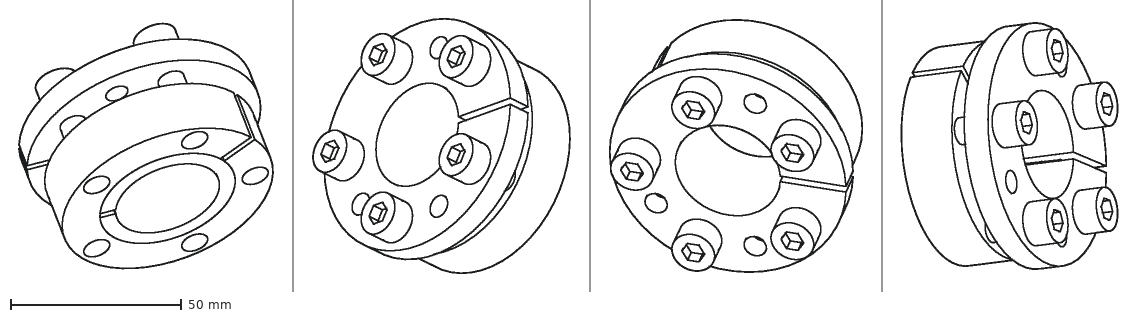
import cadquery as cq
import math


head_height = 8.0
flange_thickness = 8.0
gap_width = 6.05
ring_width = 17.0

flange_front = head_height
flange_back = flange_front + flange_thickness
ring_front = flange_back + gap_width
ring_back = ring_front + ring_width

flange_diameter = 72.0
bore_diameter = 31.95
ring_diameter = 65.0
taper_start_radius = 22.45
taper_half_angle = 4.0
slit_width = 2.0

bolt_circle_radius = 27.0
head_diameter = 13.0
shank_diameter = 8.0
socket_across_flats = 6.0
socket_depth = 4.0

jack_hole_diameter = 6.8

screw_count = 5
screw_spacing = 360 / screw_count
ring_slit_angle = 2 * screw_spacing
screw_angles = [(i + 0.5) * screw_spacing for i in range(screw_count)]
jack_hole_angles = [screw_spacing, -screw_spacing, -2 * screw_spacing]


def place_at_angle(shape, angle):
    """Turn a shape that sits on the -Y side to the given angle about X."""
    return shape.rotate((0, 0, 0), (1, 0, 0), -angle)


def cylinder_along_x(diameter, start, end):
    """Cylinder centred on the X axis between two stations."""
    start_plane = cq.Plane(origin=(start, 0, 0), xDir=(0, -1, 0), normal=(1, 0, 0))
    return cq.Workplane(start_plane).circle(diameter / 2).extrude(end - start)


def on_bolt_circle(shape, angle):
    """Move a shape from the X axis to the bolt circle at the given angle."""
    return place_at_angle(shape.translate((0, -bolt_circle_radius, 0)), angle)


def tapered_plug():
    """Solid cone from the back of the flange to the back face."""
    length = ring_back - flange_back
    taper_end_radius = taper_start_radius - length * math.tan(math.radians(taper_half_angle))
    profile = [
        (flange_back, 0),
        (flange_back, -taper_start_radius),
        (ring_back, -taper_end_radius),
        (ring_back, 0),
    ]
    return cq.Workplane("XY").polyline(profile).close().revolve(360, (0, 0, 0), (1, 0, 0))


def radial_slit():
    """Slab on the -Y side that cuts the wall from the axis out past the flange."""
    slab = cq.Workplane("XY").box(ring_back, flange_diameter, slit_width, centered=(False, False, True))
    return slab.translate((0, -flange_diameter, 0))


def make_screw(angle):
    """Socket head screw whose shank ends flush with the back face."""
    head = cylinder_along_x(head_diameter, 0, head_height)
    shank = cylinder_along_x(shank_diameter, head_height, ring_back)
    across_corners = socket_across_flats / math.cos(math.radians(30))
    socket = cq.Workplane("YZ").polygon(6, across_corners).extrude(socket_depth)
    screw = place_at_angle(head.union(shank).cut(socket), -angle)
    return on_bolt_circle(screw, angle)


def cut_screw_holes(body):
    """Cut holes that fit the screw shanks."""
    for angle in screw_angles:
        hole = cylinder_along_x(shank_diameter, flange_front, ring_back)
        body = body.cut(on_bolt_circle(hole, angle))
    return body


def make_hub():
    """Flange and tapered sleeve with a through bore, jacking holes and one slit."""
    hub = cylinder_along_x(flange_diameter, flange_front, flange_back).union(tapered_plug())
    hub = hub.cut(cylinder_along_x(bore_diameter, flange_front, ring_back))
    hub = cut_screw_holes(hub)
    for angle in jack_hole_angles:
        hole = cylinder_along_x(jack_hole_diameter, flange_front, flange_back)
        hub = hub.cut(on_bolt_circle(hole, angle))
    return hub.cut(radial_slit())


def make_ring():
    """Outer ring with a bore that fits the taper, and one slit."""
    ring = cylinder_along_x(ring_diameter, ring_front, ring_back).cut(tapered_plug())
    ring = place_at_angle(ring.cut(radial_slit()), ring_slit_angle)
    return cut_screw_holes(ring)


hub = make_hub()
ring = make_ring()
screws = [make_screw(angle) for angle in screw_angles]

result = cq.Compound.makeCompound([hub.val(), ring.val(), *[screw.val() for screw in screws]])